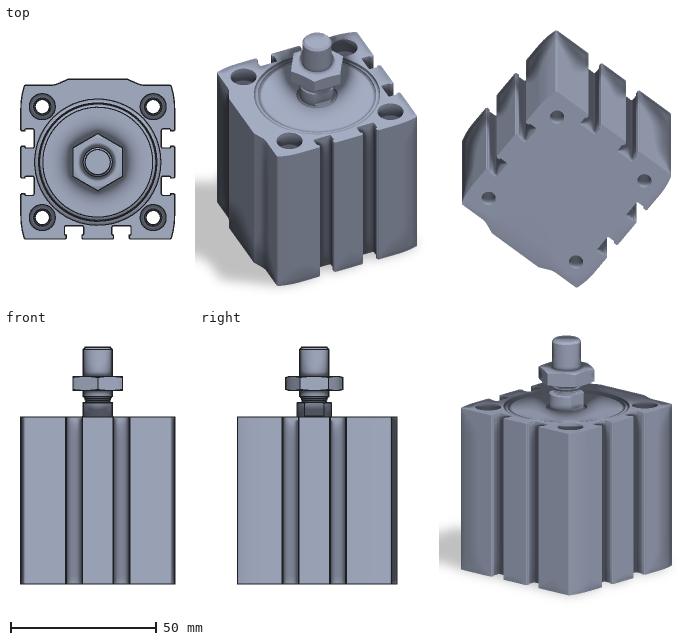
import cadquery as cq
import math

housing_half_width = 26.5
housing_height = 57.5
side_flat_half = 18.4
side_inset = 1.3
corner_radius = 0.8

bump_top = 28.5
bump_half_width = 10.2
bump_foot_half_width = 16.2
bump_foot_radius = 6.5
bump_slope = math.radians(24)

slot_spacing = 16.3
slot_mouth_width = 5.3
slot_pocket_width = 6.5
slot_lip = 1.4
slot_depth = 4.6
slot_corner_radius = 0.5
slot_lip_radius = 0.3

hole_half_spacing = 19.1
hole_diameter = 4.9
hole_mouth_diameter = 5.95
counterbore_diameter = 9.0
counterbore_depth = 5.3

cover_recess_radius = 43.4 / 2
cover_recess_depth = 1.0
ring_ridge_radius = 20.4
ring_ridge_depth = 0.25
cover_radius = 40.0 / 2
cover_bevel_radius = 19.3
cover_bevel_depth = 0.5
cover_face_radius = 18.9
cover_face_depth = 0.3
wiper_radius = 14.1 / 2
wiper_lip_radius = 6.2
wiper_depth = 0.8

overall_height = 81.5
rod_diameter = 12.0
rod_insertion = 10.0
rod_shoulder_height = 5.0
rod_shoulder_chamfer = 0.25
flat_spacing = 10.0
flat_start = 0.3
thread_diameter = 10.0
thread_end_diameter = 8.6
thread_chamfer_height = 0.8
thread_start = 64.6
neck_diameter = 8.1
neck_length = 0.3
neck_taper_height = 0.6

nut_width = 17.0
nut_height = 4.9
nut_top = 71.5
nut_face_diameter = 16.8
nut_chamfer_angle = math.radians(15)


def revolve_profile(points):
    """Solid of revolution about Z from (radius, height) points."""
    return cq.Workplane("XZ").polyline(points).close().revolve(360, (0, 0, 0), (0, 1, 0))


def housing_outline():
    """Square profile with bowed-in corners and a raised band along the back."""
    w = housing_half_width
    bow_length = w - side_flat_half
    bow_radius = (bow_length**2 + side_inset**2) / (2 * side_inset)
    bow_mid_y = side_flat_half + bow_length / 2
    bow_mid_x = w - bow_radius + math.sqrt(bow_radius**2 - (bow_length / 2)**2)
    corner_x = w - side_inset

    def foot_point(angle):
        """Point on the concave foot of the band, on the +X side."""
        x = bump_foot_half_width - bump_foot_radius * math.sin(angle)
        y = w + bump_foot_radius * (1 - math.cos(angle))
        return x, y

    foot_mid_x, foot_mid_y = foot_point(bump_slope / 2)
    foot_end_x, foot_end_y = foot_point(bump_slope)

    return (
        cq.Workplane("XY")
        .moveTo(-corner_x, -w)
        .lineTo(corner_x, -w)
        .threePointArc((bow_mid_x, -bow_mid_y), (w, -side_flat_half))
        .lineTo(w, side_flat_half)
        .threePointArc((bow_mid_x, bow_mid_y), (corner_x, w))
        .lineTo(bump_foot_half_width, w)
        .threePointArc((foot_mid_x, foot_mid_y), (foot_end_x, foot_end_y))
        .lineTo(bump_half_width, bump_top)
        .lineTo(-bump_half_width, bump_top)
        .lineTo(-foot_end_x, foot_end_y)
        .threePointArc((-foot_mid_x, foot_mid_y), (-bump_foot_half_width, w))
        .lineTo(-corner_x, w)
        .threePointArc((-bow_mid_x, bow_mid_y), (-w, side_flat_half))
        .lineTo(-w, -side_flat_half)
        .threePointArc((-bow_mid_x, -bow_mid_y), (-corner_x, -w))
        .close()
    )


def housing_block():
    block = housing_outline().extrude(housing_height)
    for x_sign in (-1, 1):
        for y_sign in (-1, 1):
            corner_x = x_sign * (housing_half_width - side_inset)
            corner = (corner_x, y_sign * housing_half_width, housing_height / 2)
            block = block.edges(cq.selectors.NearestToPointSelector(corner)).fillet(corner_radius)
    return block


def slot_cutter(x_center):
    """T-slot opening on the front (-Y) face, running the whole height."""
    front = -housing_half_width
    mouth = slot_mouth_width / 2
    flare = mouth + slot_lip_radius
    lip_start = front + slot_lip_radius
    pocket_length = slot_depth - slot_lip
    mouth_cut = (
        cq.Workplane("XY")
        .moveTo(x_center - flare, front)
        .radiusArc((x_center - mouth, lip_start), slot_lip_radius)
        .lineTo(x_center - mouth, front + slot_lip)
        .lineTo(x_center + mouth, front + slot_lip)
        .lineTo(x_center + mouth, lip_start)
        .radiusArc((x_center + flare, front), slot_lip_radius)
        .close()
        .extrude(housing_height)
    )
    pocket = (
        cq.Workplane("XY")
        .center(x_center, front + slot_lip + pocket_length / 2)
        .rect(slot_pocket_width, pocket_length)
        .extrude(housing_height)
        .edges("|Z").fillet(slot_corner_radius)
    )
    return mouth_cut.union(pocket)


def mounting_hole_cutter(x, y):
    """Counterbored through hole with a 45 degree lead-in below the counterbore."""
    floor = housing_height - counterbore_depth
    hole_radius = hole_diameter / 2
    mouth_radius = hole_mouth_diameter / 2
    bore_radius = counterbore_diameter / 2
    return revolve_profile([
        (0, 0),
        (hole_radius, 0),
        (hole_radius, floor - (mouth_radius - hole_radius)),
        (mouth_radius, floor),
        (bore_radius, floor),
        (bore_radius, housing_height),
        (0, housing_height),
    ]).translate((x, y, 0))


def cover_face_cutter():
    """Recess over the end cover: ring groove with a sloped retaining ring, then the sunken cover face."""
    top = housing_height
    floor = top - cover_recess_depth
    return revolve_profile([
        (0, top),
        (cover_recess_radius, top),
        (cover_recess_radius, floor),
        (ring_ridge_radius, top - ring_ridge_depth),
        (ring_ridge_radius, floor),
        (cover_radius, floor),
        (cover_bevel_radius, top - cover_bevel_depth),
        (cover_face_radius, top - cover_face_depth),
        (0, top - cover_face_depth),
    ])


def wiper_groove_cutter():
    """Groove around the rod, its floor rising inwards to the wiper lip."""
    cover_face = housing_height - cover_face_depth
    return revolve_profile([
        (wiper_radius, cover_face),
        (wiper_radius, cover_face - wiper_depth),
        (wiper_lip_radius, cover_face),
    ])


def make_rod():
    rod_radius = rod_diameter / 2
    thread_radius = thread_diameter / 2
    thread_end_radius = thread_end_diameter / 2
    neck_radius = neck_diameter / 2
    shoulder = housing_height + rod_shoulder_height
    neck_start = shoulder + neck_taper_height
    neck_end = neck_start + neck_length
    return revolve_profile([
        (0, housing_height - rod_insertion),
        (rod_radius, housing_height - rod_insertion),
        (rod_radius, shoulder - rod_shoulder_chamfer),
        (rod_radius - rod_shoulder_chamfer, shoulder),
        (thread_end_radius, shoulder),
        (neck_radius, neck_start),
        (neck_radius, neck_end),
        (thread_end_radius, neck_end),
        (thread_end_radius, thread_start - thread_chamfer_height),
        (thread_radius, thread_start),
        (thread_radius, overall_height - thread_chamfer_height),
        (thread_end_radius, overall_height),
        (0, overall_height),
    ]).cut(wrench_flat_cutter(1)).cut(wrench_flat_cutter(-1))


def wrench_flat_cutter(x_sign):
    """Flat on one X side of the rod shoulder, running out at 45 degrees at its lower end."""
    flat_x = flat_spacing / 2
    run_out = rod_diameter / 2 - flat_x
    bottom = housing_height + flat_start
    shoulder = housing_height + rod_shoulder_height
    return (
        cq.Workplane("XZ")
        .polyline([
            (x_sign * flat_x, shoulder),
            (x_sign * flat_x, bottom),
            (x_sign * (flat_x + run_out), bottom - run_out),
            (x_sign * (flat_x + run_out), shoulder),
        ])
        .close()
        .extrude(rod_diameter / 2, both=True)
    )


def make_housing():
    housing = housing_block()
    for face_angle in (0, 90, -90):
        for x_center in (-slot_spacing / 2, slot_spacing / 2):
            cutter = slot_cutter(x_center).rotate((0, 0, 0), (0, 0, 1), face_angle)
            housing = housing.cut(cutter)
    for x in (-hole_half_spacing, hole_half_spacing):
        for y in (-hole_half_spacing, hole_half_spacing):
            housing = housing.cut(mounting_hole_cutter(x, y))
    rod_hole = (
        cq.Workplane("XY", origin=(0, 0, housing_height - rod_insertion))
        .circle(rod_diameter / 2)
        .extrude(rod_insertion)
    )
    return housing.cut(cover_face_cutter()).cut(wiper_groove_cutter()).cut(rod_hole)


def make_nut():
    """Hexagon nut with corners on the Y axis, chamfered on both faces."""
    hexagon_radius = nut_width / math.sqrt(3)
    face_radius = nut_face_diameter / 2
    chamfer_drop = (hexagon_radius - face_radius) * math.tan(nut_chamfer_angle)
    hexagon = (
        cq.Workplane("XY")
        .polygon(6, 2 * hexagon_radius)
        .extrude(nut_height)
        .rotate((0, 0, 0), (0, 0, 1), 90)
    )
    envelope = revolve_profile([
        (0, 0),
        (face_radius, 0),
        (hexagon_radius, chamfer_drop),
        (hexagon_radius, nut_height - chamfer_drop),
        (face_radius, nut_height),
        (0, nut_height),
    ])
    bore = cq.Workplane("XY").circle(thread_diameter / 2).extrude(nut_height)
    return hexagon.intersect(envelope).cut(bore).translate((0, 0, nut_top - nut_height))


housing = make_housing()
rod = make_rod()
nut = make_nut()

result = cq.Compound.makeCompound([housing.val(), rod.val(), nut.val()])